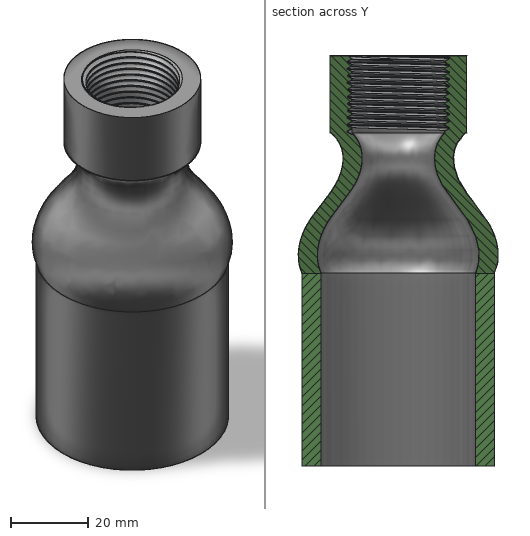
import cadquery as cq
total_height = 106.4
pipe_height = 50.0
socket_height = 20.0
socket_bottom = total_height - socket_height

wall = 5.0
pipe_radius = 25.0
socket_radius = 17.8

reducer_curve = [
    (pipe_radius, pipe_height),
    (26.0, 54.7),
    (24.4, 61.3),
    (20.3, 67.5),
    (15.9, 73.9),
    (14.4, 80.2),
    (17.6, socket_bottom),
]

thread_pitch = 1.8
thread_crest_radius = 12.0
thread_root_radius = 13.2
thread_mouth_width = 1.4
thread_root_width = 0.2
thread_overlap = 0.1
thread_start = socket_bottom + 0.3
entry_radius = 13.0
entry_depth = 1.0


def make_pipe():
    """Plain straight tube standing on the XY plane."""
    return cq.Workplane("XY").circle(pipe_radius).circle(pipe_radius - wall).extrude(pipe_height)


def thread_edge(radius, height):
    """One helical edge of the thread groove, with its radius and height at the lower end."""
    length = socket_height + thread_pitch
    helix = cq.Wire.makeHelix(thread_pitch, length, radius)
    return helix.translate(cq.Vector(0, 0, thread_start + height))


def make_thread_cutter():
    """Helical V groove that starts above the open end and runs the depth of the socket."""
    inner_radius = thread_crest_radius - thread_overlap
    side_slope = (thread_mouth_width - thread_root_width) / (thread_root_radius - thread_crest_radius)
    half_mouth = thread_mouth_width / 2 + side_slope * thread_overlap / 2
    half_root = thread_root_width / 2
    edges = [
        thread_edge(inner_radius, -half_mouth),
        thread_edge(thread_root_radius, -half_root),
        thread_edge(thread_root_radius, half_root),
        thread_edge(inner_radius, half_mouth),
    ]
    faces = [
        cq.Face.makeRuledSurface(edge, next_edge)
        for edge, next_edge in zip(edges, edges[1:] + edges[:1])
    ]
    for corners in ([edge.startPoint() for edge in edges], [edge.endPoint() for edge in edges]):
        faces.append(cq.Face.makeFromWires(cq.Wire.makePolygon(corners, close=True)))
    return cq.Solid.makeSolid(cq.Shell.makeShell(faces))


def make_fitting():
    """Revolved reducer and socket with an even wall and a threaded bore."""
    inner_curve = [(radius - wall, height) for radius, height in reducer_curve[:-1]]
    inner_curve.append((thread_crest_radius, socket_bottom))
    body = (
        cq.Workplane("XZ")
        .moveTo(*reducer_curve[0])
        .spline(reducer_curve[1:], includeCurrent=True)
        .lineTo(socket_radius, socket_bottom)
        .lineTo(socket_radius, total_height)
        .lineTo(entry_radius, total_height)
        .lineTo(thread_crest_radius, total_height - entry_depth)
        .lineTo(*inner_curve[-1])
        .spline(inner_curve[-2::-1], includeCurrent=True)
        .close()
        .revolve(360, (0, 0, 0), (0, 1, 0))
    )
    return body.cut(make_thread_cutter())


pipe = make_pipe()
fitting = make_fitting()

result = cq.Compound.makeCompound([pipe.val(), *fitting.solids().vals()])